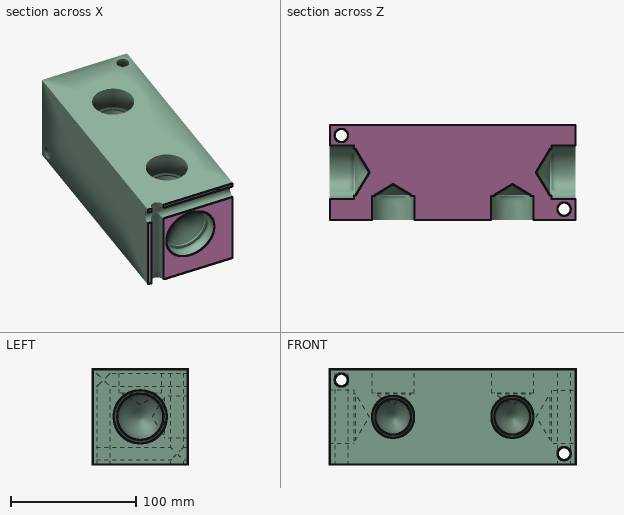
import cadquery as cq
import math

length = 196.8
side = 76.2

drill_point_angle = 118.0
side_port_bore = 33.7
side_port_drill = 28.5
side_port_bore_depth = 18.9
side_port_drill_depth = 19.9
side_port_pitch = 95.3
end_port_bore = 42.5
end_port_drill = 36.8
end_port_bore_depth = 19.5
end_port_drill_depth = 20.7

mount_diameter = 10.2
mount_end_offset = 9.5
mount_edge_offset = 8.7


def port_cutter(origin, direction, bore, drill, bore_depth, drill_depth):
    """Stepped blind hole with a conical tip, starting on a face and going inward."""
    point_depth = drill / 2 / math.tan(math.radians(drill_point_angle / 2))
    profile = (
        cq.Workplane("XZ")
        .polyline([
            (0, 0),
            (bore / 2, 0),
            (bore / 2, bore_depth),
            (drill / 2, bore_depth),
            (drill / 2, drill_depth),
            (0, drill_depth + point_depth),
        ])
        .close()
    )
    cutter = profile.revolve(360, (0, 0, 0), (0, 1, 0)).val()
    return cutter.moved(cq.Location(cq.Plane(origin=origin, normal=direction)))


def side_port(origin, direction):
    return port_cutter(
        origin, direction, side_port_bore, side_port_drill, side_port_bore_depth, side_port_drill_depth
    )


def end_port(origin, direction):
    return port_cutter(
        origin, direction, end_port_bore, end_port_drill, end_port_bore_depth, end_port_drill_depth
    )


def mounting_holes(plane):
    """Two through holes at the upper-left and lower-right corners of a long face."""
    x = length / 2 - mount_end_offset
    y = side / 2 - mount_edge_offset
    return (
        cq.Workplane(plane)
        .pushPoints([(-x, y), (x, -y)])
        .circle(mount_diameter / 2)
        .extrude(side, both=True)
    )


result = cq.Workplane("XY").box(length, side, side)

for port_x in (-side_port_pitch / 2, side_port_pitch / 2):
    result = result.cut(side_port((port_x, -side / 2, 0), (0, 1, 0)))
    result = result.cut(side_port((port_x, 0, side / 2), (0, 0, -1)))

for end in (-1, 1):
    result = result.cut(end_port((end * length / 2, 0, 0), (-end, 0, 0)))

for plane in ("XZ", "XY"):
    result = result.cut(mounting_holes(plane))